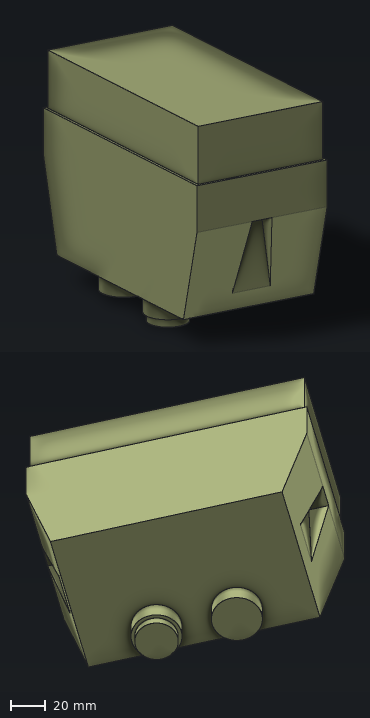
import cadquery as cq

length = 166.0
width = 88.0
total_height = 136.3
body_height = 85.0
band_height = 28.2
bottom_length = 136.8

lid_inset = 1.8

connector_diameter = 29.2
connector_height = 11.0
connector_offset_x = 23.7
connector_y = -26.5
tip_diameter = 24.9
tip_height = 5.3

grip_top_width = 13.3
grip_bottom_width = 25.5
grip_height = 45.5

lid_height = total_height - body_height - connector_height - tip_height
taper_height = body_height - band_height
taper_run = (length - bottom_length) / 2
grip_depth = taper_run * grip_height / taper_height


def make_body():
    """Body with its bottom face at Z = 0, centred on X and Y."""
    return (
        cq.Workplane("XZ")
        .moveTo(-bottom_length / 2, 0)
        .lineTo(bottom_length / 2, 0)
        .lineTo(length / 2, taper_height)
        .lineTo(length / 2, body_height)
        .lineTo(-length / 2, body_height)
        .lineTo(-length / 2, taper_height)
        .close()
        .extrude(width / 2, both=True)
    )


def make_lid():
    return (
        cq.Workplane("XY")
        .workplane(offset=body_height)
        .rect(length - 2 * lid_inset, width - 2 * lid_inset)
        .extrude(lid_height)
    )


def make_connector(x):
    return (
        cq.Workplane("XY")
        .center(x, connector_y)
        .circle(connector_diameter / 2)
        .extrude(-connector_height)
    )


def make_tip(x):
    return (
        cq.Workplane("XY")
        .workplane(offset=-connector_height)
        .center(x, connector_y)
        .circle(tip_diameter / 2)
        .extrude(-tip_height)
    )


def make_grip_cutter():
    """Trapezoidal prism at the -X end, reaching up to the straight band."""
    grip_bottom = taper_height - grip_height
    return (
        cq.Workplane("YZ")
        .workplane(offset=-length / 2)
        .moveTo(-grip_bottom_width / 2, grip_bottom)
        .lineTo(grip_bottom_width / 2, grip_bottom)
        .lineTo(grip_top_width / 2, taper_height)
        .lineTo(-grip_top_width / 2, taper_height)
        .close()
        .extrude(grip_depth)
    )


result = make_body().union(make_lid())

for connector_x in (-connector_offset_x, connector_offset_x):
    result = result.union(make_connector(connector_x))

result = result.union(make_tip(connector_offset_x))

grip_cutter = make_grip_cutter()
result = result.cut(grip_cutter).cut(grip_cutter.mirror("YZ"))